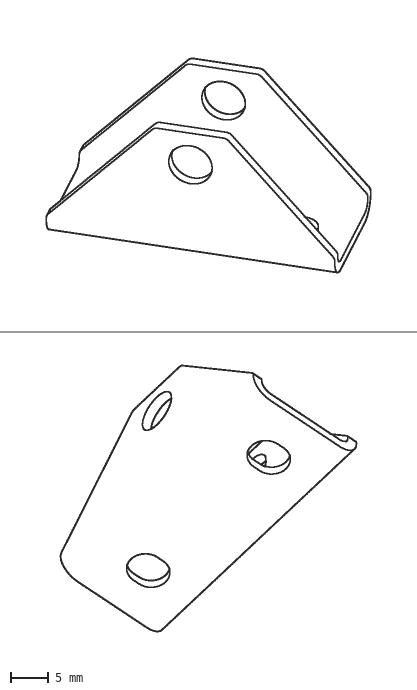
import cadquery as cq

length = 40.0
width = 18.0
height = 20.0

inner_width = 15.0
thickness = (width - inner_width) / 2
inner_bend_radius = thickness
outer_bend_radius = inner_bend_radius + thickness

top_length = 10.0
shoulder_height = 3.5
corner_radius = 1.0

pivot_diameter = 6.0
pivot_height = 15.0

slot_width = 5.0
slot_length = 6.0
slot_spacing = 25.0


def make_channel():
    """U-shaped channel along X, with its base resting on Z = 0."""
    outer = (
        cq.Workplane("XY")
        .box(length, width, height, centered=(True, True, False))
        .edges("|X and <Z")
        .fillet(outer_bend_radius)
    )
    inner = (
        cq.Workplane("XY")
        .workplane(offset=thickness)
        .box(length, inner_width, height, centered=(True, True, False))
        .edges("|X and <Z")
        .fillet(inner_bend_radius)
    )
    return outer.cut(inner)


def make_side_profile():
    """Side outline with rounded upper corners, extruded across the width."""
    outline = [
        (-length / 2, 0),
        (length / 2, 0),
        (length / 2, shoulder_height),
        (top_length / 2, height),
        (-top_length / 2, height),
        (-length / 2, shoulder_height),
    ]
    return (
        cq.Workplane("XZ")
        .polyline(outline)
        .close()
        .extrude(width / 2, both=True)
        .edges("|Y")
        .edges(cq.selectors.BoxSelector(
            (-length, -width, shoulder_height / 2),
            (length, width, 2 * height),
        ))
        .fillet(corner_radius)
    )


def make_pivot_hole():
    return (
        cq.Workplane("XZ")
        .center(0, pivot_height)
        .circle(pivot_diameter / 2)
        .extrude(width, both=True)
    )


def make_mounting_slots():
    """Two slots through the base, elongated along Y."""
    return (
        cq.Workplane("XY")
        .pushPoints([(-slot_spacing / 2, 0), (slot_spacing / 2, 0)])
        .slot2D(slot_length, slot_width, 90)
        .extrude(thickness)
    )


result = (
    make_channel()
    .intersect(make_side_profile())
    .cut(make_pivot_hole())
    .cut(make_mounting_slots())
)